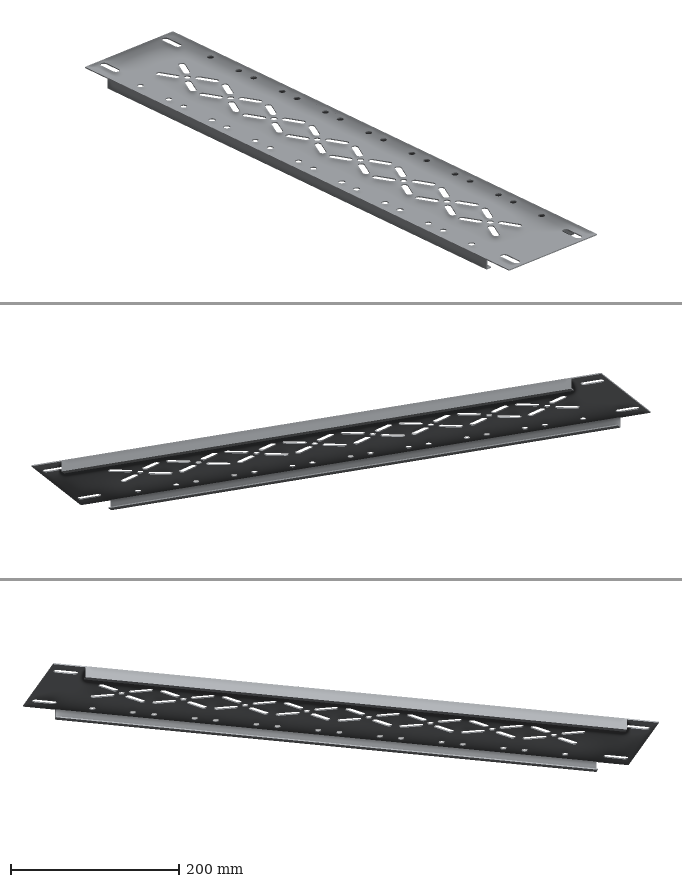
import cadquery as cq

length = 744.0
width = 142.0
height = 14.0
thickness = 1.5

flange_length = 665.0
lip_width = 7.5

corner_slot_length = 30.5
corner_slot_width = 9.0
corner_slot_x = 351.0
corner_slot_y = 50.0

unit_count = 8
unit_pitch = 76.0

hole_diameter = 8.0
hole_spacing = 50.0
hole_row_y = 56.5

cross_shift = -4.0
cross_slot_length = 30.0
cross_slot_width = 8.0
cross_slot_angle = 27.0
cross_slot_x = 20.0
cross_slot_y = 13.5

plate_bottom = height - thickness
unit_xs = [(i - (unit_count - 1) / 2) * unit_pitch for i in range(unit_count)]
cross_xs = [x + cross_shift for x in unit_xs]


def make_box(size_x, size_y, size_z, center_y, bottom_z):
    """Box centred on X, with its underside at bottom_z."""
    box = cq.Workplane("XY").box(size_x, size_y, size_z, centered=(True, True, False))
    return box.translate((0, center_y, bottom_z))


def make_folded_edge(side):
    """Flange hanging from one long edge (side = 1 or -1), with its inward lip."""
    flange = make_box(flange_length, thickness, height, side * (width - thickness) / 2, 0)
    lip = make_box(flange_length, lip_width, thickness, side * (width - lip_width) / 2, 0)
    return flange.union(lip)


def cut_holes(body, points):
    """Round holes through the top plate."""
    plane = cq.Workplane("XY").workplane(offset=plate_bottom)
    return body.cut(plane.pushPoints(points).circle(hole_diameter / 2).extrude(thickness))


def cut_slots(body, points, slot_length, slot_width, angle):
    """Round-ended slots through the top plate, turned by angle from X."""
    plane = cq.Workplane("XY").workplane(offset=plate_bottom)
    return body.cut(plane.pushPoints(points).slot2D(slot_length, slot_width, angle).extrude(thickness))


panel = make_box(length, width, thickness, 0, plate_bottom)
for side in (-1, 1):
    panel = panel.union(make_folded_edge(side))

corner_points = [(sx * corner_slot_x, sy * corner_slot_y) for sx in (-1, 1) for sy in (-1, 1)]
panel = cut_slots(panel, corner_points, corner_slot_length, corner_slot_width, 0)

pair_points = [
    (x + sx * hole_spacing / 2, sy * hole_row_y)
    for x in unit_xs
    for sx in (-1, 1)
    for sy in (-1, 1)
]
panel = cut_holes(panel, pair_points)

panel = cut_holes(panel, [(x, 0) for x in cross_xs])
for slant in (-1, 1):
    slot_points = [
        (x + s * cross_slot_x, s * slant * cross_slot_y)
        for x in cross_xs
        for s in (-1, 1)
    ]
    panel = cut_slots(panel, slot_points, cross_slot_length, cross_slot_width, slant * cross_slot_angle)

result = panel